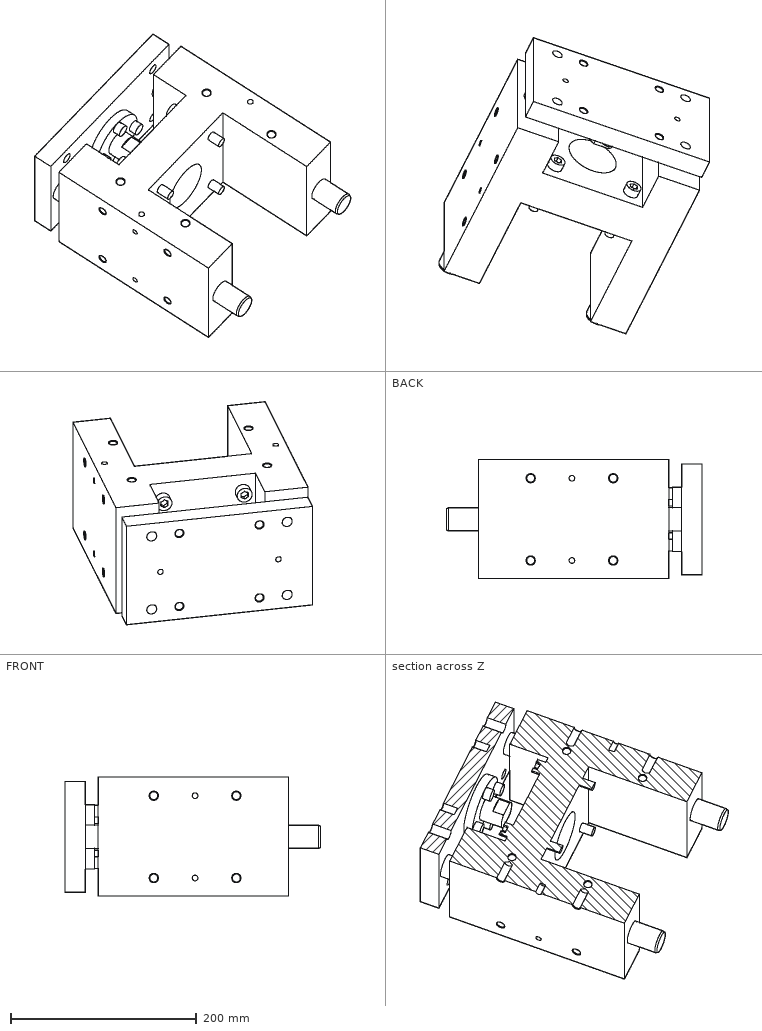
import cadquery as cq
import math


outer_pattern_y = 75.0
inner_pattern_y = 44.5
pattern_z = 44.5

plate_thickness = 22.0
plate_width = 206.5
plate_height = 120.0
mount_hole_diameter = 11.0
plate_dowel_y = 65.5

rod_diameter = 25.0
rod_y = 86.5
rod_end_x = 276.0
rod_chamfer_length = 2.2
rod_chamfer_depth = 0.8

flange_diameter = 69.8
flange_thickness = 10.0
neck_diameter = 29.0
neck_end_x = 57.5
flat_length = 12.5
across_flats = 23.5
screw_head_diameter = 13.0
screw_head_height = 8.3
screw_circle_radius = 28.0
screw_count = 4

housing_start_x = 36.0
housing_length = 205.5
housing_width = 213.0
housing_height = 129.0
housing_bottom_z = -64.0
web_start_x = 80.5
web_thickness = 45.5
front_pocket_width = 117.0
rear_pocket_width = 130.0
web_bore_diameter = 55.2

cap_head_diameter = 16.5
cap_head_height = 9.5
cap_shank_diameter = 10.2
cap_shank_end_x = 140.5
cap_socket_across_flats = 8.0
cap_socket_depth = 5.0

tap_diameter = 8.5
tap_rim_diameter = 10.0
tap_depth = 22.0
drill_point_angle = 118.0
dowel_diameter = 6.0
dowel_depth = 12.1
plate_tap_depth = 16.5
tap_spacing_x = 89.1
tap_center_x = 140.5
top_dowel_y = 95.0

housing_top_z = housing_bottom_z + housing_height
housing_end_x = housing_start_x + housing_length
web_end_x = web_start_x + web_thickness
flange_face_x = plate_thickness + flange_thickness
tap_xs = [tap_center_x - tap_spacing_x / 2, tap_center_x + tap_spacing_x / 2]
signs = (-1, 1)


def block(x0, x1, width, z0, z1):
    """Box between x0 and x1 and between z0 and z1, centred on y = 0."""
    box = cq.Workplane("XY").box(x1 - x0, width, z1 - z0, centered=(False, True, False))
    return box.translate((x0, 0, z0))


def cylinder(start, direction, diameter, length):
    """Round bar or drill from a start point along a direction."""
    solid = cq.Solid.makeCylinder(diameter / 2, length, cq.Vector(*start), cq.Vector(*direction))
    return cq.Workplane(obj=solid)


def x_rod(x0, x1, y, z, diameter):
    """Round bar parallel to X."""
    return cylinder((x0, y, z), (1, 0, 0), diameter, x1 - x0)


def tap_drill(start, direction, depth, pointed=True):
    """Drill for a tapped hole: a chamfered rim, a straight bore and, if pointed, a conical end."""
    rim_depth = (tap_rim_diameter - tap_diameter) / 2
    origin = cq.Vector(*start)
    axis = cq.Vector(*direction)
    drill = cylinder(start, direction, tap_diameter, depth)
    rim = cq.Solid.makeCone(tap_rim_diameter / 2, tap_diameter / 2, rim_depth, origin, axis)
    drill = drill.union(cq.Workplane(obj=rim))
    if pointed:
        tip_length = tap_diameter / 2 / math.tan(math.radians(drill_point_angle / 2))
        tip = cq.Solid.makeCone(tap_diameter / 2, 0, tip_length, origin + axis * depth, axis)
        drill = drill.union(cq.Workplane(obj=tip))
    return drill


def guide_rod(y):
    """Rod fixed to the plate, with a chamfered free end."""
    radius = rod_diameter / 2
    tip_start = rod_end_x - rod_chamfer_length
    tip = cq.Solid.makeCone(
        radius, radius - rod_chamfer_depth, rod_chamfer_length, cq.Vector(tip_start, y, 0), cq.Vector(1, 0, 0)
    )
    return x_rod(plate_thickness, tip_start, y, 0, rod_diameter).union(cq.Workplane(obj=tip))


def coupling():
    """Flange with its screw heads, and a neck with flats on top and bottom."""
    neck = x_rod(flange_face_x, neck_end_x, 0, 0, neck_diameter)
    flat_start_x = neck_end_x - flat_length
    for z0, z1 in ((across_flats / 2, neck_diameter), (-neck_diameter, -across_flats / 2)):
        neck = neck.cut(block(flat_start_x, neck_end_x, neck_diameter, z0, z1))
    body = x_rod(plate_thickness, flange_face_x, 0, 0, flange_diameter).union(neck)
    for index in range(screw_count):
        angle = 2 * math.pi * index / screw_count
        y = screw_circle_radius * math.cos(angle)
        z = screw_circle_radius * math.sin(angle)
        head = x_rod(flange_face_x, flange_face_x + screw_head_height, y, z, screw_head_diameter)
        body = body.union(head)
    return body


def front_slide():
    """Front plate carrying the guide rods and the piston coupling."""
    body = block(0, plate_thickness, plate_width, -plate_height / 2, plate_height / 2).union(coupling())
    for side in signs:
        body = body.union(guide_rod(side * rod_y))
    for side in signs:
        body = body.cut(cylinder((0, side * plate_dowel_y, 0), (1, 0, 0), dowel_diameter, dowel_depth))
        for level in signs:
            z = level * pattern_z
            body = body.cut(x_rod(0, plate_thickness, side * outer_pattern_y, z, mount_hole_diameter))
            tap_start = (0, side * inner_pattern_y, z)
            body = body.cut(tap_drill(tap_start, (1, 0, 0), plate_tap_depth, pointed=False))
    return body


def cap_screw(y, z):
    """Socket head cap screw whose head rests on the web and whose shank passes through it."""
    head_x = web_start_x - cap_head_height
    head = x_rod(head_x, web_start_x, y, z, cap_head_diameter)
    shank = x_rod(web_start_x, cap_shank_end_x, y, z, cap_shank_diameter)
    socket = (
        cq.Workplane("YZ", origin=(head_x, y, z))
        .polygon(6, cap_socket_across_flats, circumscribed=True)
        .extrude(cap_socket_depth)
    )
    return head.union(shank).cut(socket)


def guide_housing():
    """H-shaped housing with rod bores, fastening holes and its cap screws."""
    body = block(housing_start_x, housing_end_x, housing_width, housing_bottom_z, housing_top_z)
    body = body.cut(block(housing_start_x, web_start_x, front_pocket_width, housing_bottom_z, housing_top_z))
    body = body.cut(block(web_end_x, housing_end_x, rear_pocket_width, housing_bottom_z, housing_top_z))
    body = body.cut(x_rod(web_start_x, web_end_x, 0, 0, web_bore_diameter))
    for side in signs:
        body = body.cut(x_rod(housing_start_x, housing_end_x, side * rod_y, 0, rod_diameter))
        inward = (0, -side, 0)
        side_y = side * housing_width / 2
        down = (0, 0, -1)
        dowel_start = (tap_center_x, side * top_dowel_y, housing_top_z)
        body = body.cut(cylinder(dowel_start, down, dowel_diameter, dowel_depth))
        for x in tap_xs:
            body = body.cut(tap_drill((x, side * outer_pattern_y, housing_top_z), down, tap_depth))
        for level in signs:
            z = level * pattern_z
            body = body.cut(cylinder((tap_center_x, side_y, z), inward, dowel_diameter, dowel_depth))
            for x in tap_xs:
                body = body.cut(tap_drill((x, side_y, z), inward, tap_depth))
    for side in signs:
        for level in signs:
            body = body.union(cap_screw(side * inner_pattern_y, level * pattern_z))
    return body


slide = front_slide()
housing = guide_housing()

result = cq.Compound.makeCompound([slide.solids().val(), housing.solids().val()])